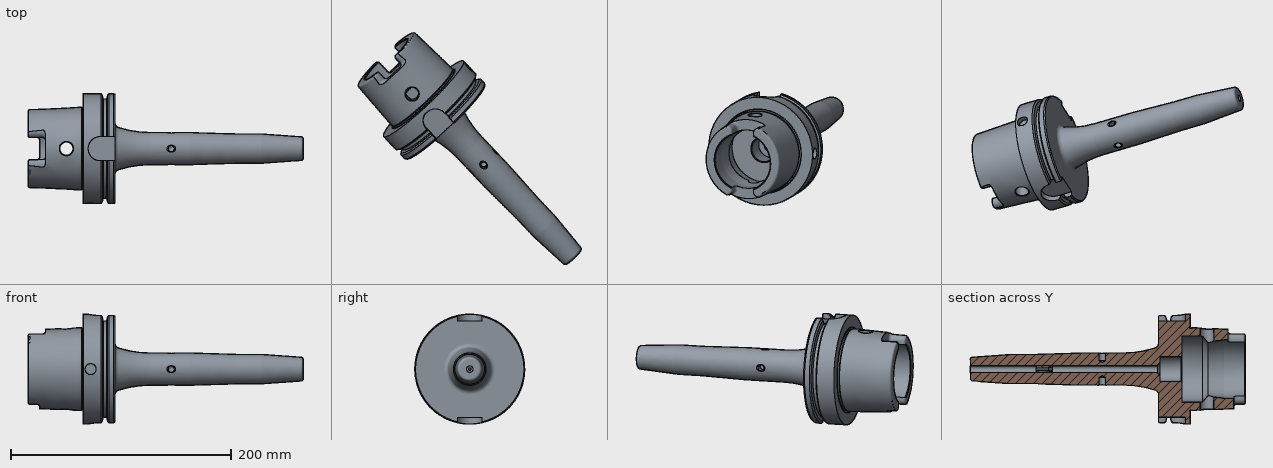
import cadquery as cq
import math


length = 250.0
flange_radius = 50.0

taper_rear_radius = 35.5
taper_front_radius = 37.7
taper_end_x = 47.0
taper_land_end_x = 48.2
taper_land_bevel = 0.7
rear_round = 1.7
neck_radius = 37.2
flange_face_x = 50.0
relief_depth = 0.5
relief_radius = 39.2

flange_end_x = 79.0
groove_x = 69.7
groove_floor_radius = 45.2
groove_wall_radius = 48.2
groove_floor_half_width = 1.5
groove_wall_half_width = 2.2
groove_mouth_half_width = 3.5
flange_bevel_width = 1.2
flange_bevel_drop = 0.7

root_radius = 23.2
flare_start_x = 82.2
flare_start_radius = 19.2
neck_start_x = 110.7
neck_end_x = 147.7
nose_neck_radius = 14.7
collar_start_x = 189.0
collar_end_x = 211.7
collar_radius = 13.5
tip_radius = 10.7
tip_round = 2.2

mouth_radius = 27.2
mouth_chamfer = 0.7
bore_radius = mouth_radius - mouth_chamfer
bore_end_x = 19.2
throat_x = 33.7
throat_radius = 24.7
undercut_start_x = 38.7
undercut_radius = 30.0
cavity_depth = 57.5

tube_bore_radius = 11.2
tube_bore_chamfer = 0.7
tube_bore_end_x = 77.5
funnel_radius = 6.0
funnel_end_x = 80.0
tool_bore_radius = 3.0

screw_start_x = 175.0
screw_length = 15.0
screw_bore_radius = 1.0
socket_sides = 6
socket_width = 3.0
socket_depth = 3.7

slot_half_width = 10.0
slot_corner_radius = 5.0
slot_shelf_height = 32.0
upper_slot_depth = 15.7
lower_slot_depth = 10.5
slot_floor_fillet = 2.5

access_x = 34.7
access_radius = 6.0
access_chamfer = 0.5

keyway_start_x = 54.5
keyway_half_width = 11.0
keyway_floor_height = 43.7
chip_x = 56.7
chip_radius = 5.0
chip_depth = 4.5

balance_x = 130.0
balance_count = 4
balance_mouth_radius = 4.0
balance_radius = 2.7
balance_sink_depth = 0.5
balance_depth = 7.0
drill_point_half_angle = 59

pick_margin = 0.2


def cylinder_x(radius, start_x, end_x):
    return cq.Workplane("YZ").workplane(offset=start_x).circle(radius).extrude(end_x - start_x)


def cone_x(start_radius, end_radius, start_x, end_x):
    profile = [(start_x, 0), (start_x, start_radius), (end_x, end_radius), (end_x, 0)]
    return cq.Workplane("XY").polyline(profile).close().revolve(360, (0, 0, 0), (1, 0, 0))


def turned_outside():
    run = neck_start_x - flare_start_x
    rise = flare_start_radius - nose_neck_radius
    flare_radius = (run ** 2 + rise ** 2) / (2 * rise)
    flare_middle_x = (flare_start_x + neck_start_x) / 2
    flare_middle_radius = nose_neck_radius + flare_radius - math.sqrt(
        flare_radius ** 2 - (run / 2) ** 2)
    profile = (
        cq.Workplane("XZ")
        .moveTo(0, 0)
        .lineTo(0, taper_rear_radius)
        .lineTo(taper_end_x, taper_front_radius)
        .lineTo(taper_land_end_x, taper_front_radius)
        .lineTo(taper_land_end_x + taper_land_bevel, neck_radius)
        .lineTo(flange_face_x + relief_depth, neck_radius)
        .lineTo(flange_face_x + relief_depth, relief_radius - relief_depth)
        .lineTo(flange_face_x, relief_radius)
        .lineTo(flange_face_x, flange_radius)
        .lineTo(flange_end_x - flange_bevel_width, flange_radius)
        .lineTo(flange_end_x, flange_radius - flange_bevel_drop)
        .lineTo(flange_end_x, root_radius)
        .tangentArcPoint((flare_start_x, flare_start_radius), relative=False)
        .threePointArc((flare_middle_x, flare_middle_radius), (neck_start_x, nose_neck_radius))
        .lineTo(neck_end_x, nose_neck_radius)
        .lineTo(collar_start_x, collar_radius)
        .lineTo(collar_end_x, collar_radius)
        .lineTo(length, tip_radius)
        .lineTo(length, 0)
        .close()
    )
    body = profile.revolve(360, (0, 0, 0), (1, 0, 0))
    return body.faces(">X").edges().fillet(tip_round)


def v_groove():
    """Ring cutter whose steep walls flare out at the mouth."""
    flank = [
        (groove_floor_half_width, groove_floor_radius),
        (groove_wall_half_width, groove_wall_radius),
        (groove_mouth_half_width, flange_radius),
    ]
    front_side = [(groove_x + offset, radius) for offset, radius in flank]
    rear_side = [(groove_x - offset, radius) for offset, radius in reversed(flank)]
    outline = front_side + rear_side
    return cq.Workplane("XZ").polyline(outline).close().revolve(360, (0, 0, 0), (1, 0, 0))


def cavity():
    mouth = cone_x(mouth_radius, bore_radius, 0, mouth_chamfer)
    entry = cylinder_x(bore_radius, 0, bore_end_x)
    throat = cone_x(bore_radius, throat_radius, bore_end_x, throat_x)
    shoulder = cone_x(throat_radius, undercut_radius, throat_x, undercut_start_x)
    undercut = cylinder_x(undercut_radius, undercut_start_x, cavity_depth)
    return mouth.union(entry).union(throat).union(shoulder).union(undercut)


def axial_bores():
    tube_chamfer = cone_x(tube_bore_radius + tube_bore_chamfer, tube_bore_radius,
                          cavity_depth, cavity_depth + tube_bore_chamfer)
    tube_bore = cylinder_x(tube_bore_radius, cavity_depth, tube_bore_end_x)
    funnel = cone_x(funnel_radius, tool_bore_radius, tube_bore_end_x, funnel_end_x)
    tool_bore = cylinder_x(tool_bore_radius, tube_bore_end_x, length)
    return tube_chamfer.union(tube_bore).union(funnel).union(tool_bore)


def drive_slot(depth):
    """Slot cutter pointing to +Z whose walls round outwards into a wide shelf."""
    shoulder = slot_half_width + slot_corner_radius
    shelf_half_width = 2 * shoulder
    bend = slot_corner_radius * math.sqrt(0.5)
    arc_height = slot_shelf_height - slot_corner_radius
    top = flange_radius
    cutter = (
        cq.Workplane("YZ")
        .moveTo(-slot_half_width, 0)
        .lineTo(slot_half_width, 0)
        .lineTo(slot_half_width, arc_height)
        .threePointArc((shoulder - bend, arc_height + bend), (shoulder, slot_shelf_height))
        .lineTo(shelf_half_width, slot_shelf_height)
        .lineTo(shelf_half_width, top)
        .lineTo(-shelf_half_width, top)
        .lineTo(-shelf_half_width, slot_shelf_height)
        .lineTo(-shoulder, slot_shelf_height)
        .threePointArc((bend - shoulder, arc_height + bend), (-slot_half_width, arc_height))
        .close()
        .extrude(depth)
    )
    wall_bottoms = cq.selectors.BoxSelector(
        (depth - pick_margin, -shelf_half_width, pick_margin),
        (depth + pick_margin, shelf_half_width, slot_shelf_height + pick_margin))
    return cutter.edges(wall_bottoms).fillet(slot_floor_fillet)


def access_hole():
    return (cq.Workplane("XY").center(access_x, 0).circle(access_radius)
            .extrude(flange_radius, both=True))


def access_rims():
    """Selector of the two rims where the access hole leaves the taper."""
    reach = access_radius + pick_margin
    outer = taper_front_radius + pick_margin
    inner = (undercut_radius + taper_rear_radius) / 2

    def rim_box(low, high):
        return cq.selectors.BoxSelector(
            (access_x - reach, -reach, low), (access_x + reach, reach, high), boundingbox=True)

    return rim_box(inner, outer) + rim_box(-outer, -inner)


def keyway():
    centre_x = keyway_start_x + keyway_half_width
    height = flange_radius - keyway_floor_height
    plane = cq.Workplane("XY").workplane(offset=keyway_floor_height)
    round_end = plane.center(centre_x, 0).circle(keyway_half_width).extrude(height)
    run = flange_end_x - centre_x
    straight = (cq.Workplane("XY").workplane(offset=keyway_floor_height)
                .center(centre_x + run / 2, 0).rect(run, 2 * keyway_half_width).extrude(height))
    return round_end.union(straight)


def chip_pocket():
    return (cq.Workplane("XZ").workplane(offset=flange_radius - chip_depth)
            .center(chip_x, 0).circle(chip_radius).extrude(chip_depth))


def balance_hole():
    """Hole cutter along +Z with a wide countersink and a drill-point floor."""
    slope = math.tan(math.radians(drill_point_half_angle))
    top = nose_neck_radius
    floor = top - balance_depth
    profile = [
        (0, floor - balance_radius / slope),
        (balance_radius, floor),
        (balance_radius, top - balance_sink_depth),
        (balance_mouth_radius, top),
        (0, top),
    ]
    cutter = cq.Workplane("XZ").polyline(profile).close().revolve(360, (0, 0, 0), (0, 1, 0))
    return cutter.translate((balance_x, 0, 0))


def turn(shape, angle):
    return shape.rotate((0, 0, 0), (1, 0, 0), angle)


def make_holder():
    body = turned_outside().cut(v_groove())
    body = body.cut(drive_slot(upper_slot_depth))
    body = body.cut(turn(drive_slot(lower_slot_depth), 180))
    body = body.faces("<X").edges().fillet(rear_round)
    body = body.cut(cavity()).cut(axial_bores())
    body = body.cut(access_hole())
    body = body.edges(access_rims()).chamfer(access_chamfer)
    body = body.cut(keyway()).cut(turn(keyway(), 180))
    body = body.cut(chip_pocket())
    for index in range(balance_count):
        body = body.cut(turn(balance_hole(), index * 360 / balance_count))
    return body


def make_stop_screw():
    end_x = screw_start_x + screw_length
    screw = cylinder_x(tool_bore_radius, screw_start_x, end_x)
    socket = (cq.Workplane("YZ").workplane(offset=screw_start_x)
              .polygon(socket_sides, socket_width, circumscribed=True).extrude(socket_depth))
    return screw.cut(cylinder_x(screw_bore_radius, screw_start_x, end_x)).cut(socket)


holder = make_holder()
stop_screw = make_stop_screw()
result = cq.Compound.makeCompound([holder.val(), stop_screw.val()])